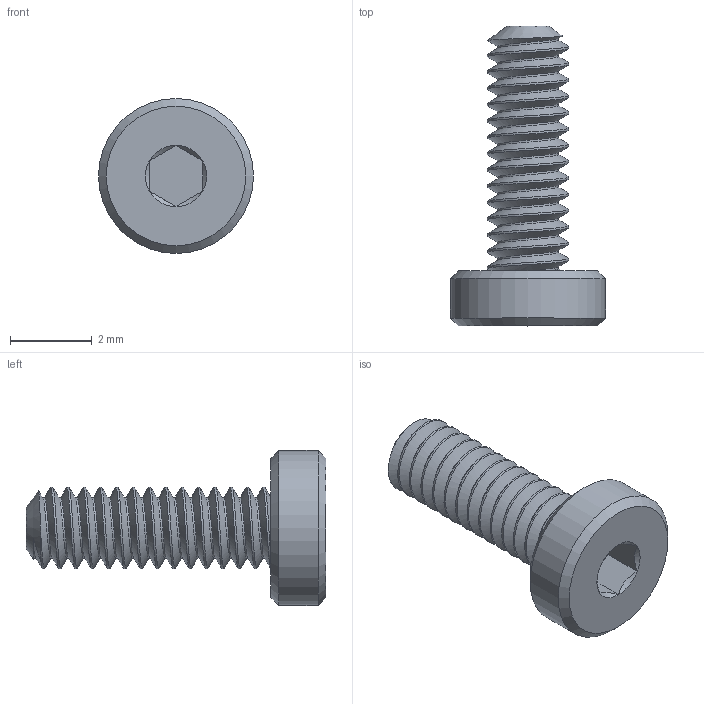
import cadquery as cq
import math

head_diameter = 3.8
head_height = 1.35
head_chamfer = 0.05 * head_diameter
shank_length = 6.0
thread_diameter = 2.0
pitch = 0.4

thread_half_angle = 30.0
crest_width = pitch / 8
root_width = pitch / 8
ridge_base_width = pitch - root_width
ridge_height = (ridge_base_width - crest_width) / 2 / math.tan(math.radians(thread_half_angle))
crest_radius = thread_diameter / 2
root_radius = crest_radius - ridge_height
ridge_overlap = 0.05
runout_turns = 1
thread_turns = math.ceil(shank_length / pitch) + 2 * runout_turns

tip_radius = 0.51
tip_cone_slope = 0.74

hex_across_flats = 1.3
half_hex_angle = 30.0
hex_across_corners = hex_across_flats / math.cos(math.radians(half_hex_angle))
socket_depth = 1.0
socket_cone_angle = 45.0

shank_embed = head_height - socket_depth

head_face = -head_height
tip_face = shank_length


def make_head():
    """Flat cylinder chamfered on both rims."""
    return (
        cq.Workplane("XZ")
        .circle(head_diameter / 2)
        .extrude(head_height)
        .edges()
        .chamfer(head_chamfer)
    )


def make_core():
    """Cylinder at the root of the thread."""
    return (
        cq.Workplane("XZ", origin=(0, tip_face, 0))
        .circle(root_radius)
        .extrude(shank_length + shank_embed)
    )


def make_ridge():
    """Right-hand helical ridge that runs past the shank at both ends."""
    inner_radius = root_radius - ridge_overlap
    flank_width = (ridge_base_width - crest_width) / 2
    profile = [
        (inner_radius, 0),
        (root_radius, 0),
        (crest_radius, flank_width),
        (crest_radius, flank_width + crest_width),
        (root_radius, ridge_base_width),
        (inner_radius, ridge_base_width),
    ]
    ridge_length = thread_turns * pitch
    helices = [
        cq.Wire.makeHelix(pitch, ridge_length, radius).translate(cq.Vector(0, 0, height))
        for radius, height in profile
    ]
    faces = []
    for index, helix in enumerate(helices):
        faces.extend(cq.Face.makeRuledSurface(helices[index - 1], helix).Faces())
    for end_height in (0, ridge_length):
        corners = [cq.Vector(radius, 0, height + end_height) for radius, height in profile]
        faces.append(cq.Face.makeFromWires(cq.Wire.makePolygon(corners, close=True)))
    ridge = cq.Workplane(obj=cq.Solid.makeSolid(cq.Shell.makeShell(faces)))
    return (
        ridge
        .rotate((0, 0, 0), (1, 0, 0), -90)
        .rotate((0, 0, 0), (0, 1, 0), -90)
        .translate((0, -runout_turns * pitch, 0))
    )


def make_shank_envelope():
    """Solid of revolution that trims the thread inside the head and at the point."""
    outer_radius = crest_radius + pitch
    cone_length = (outer_radius - tip_radius) * tip_cone_slope
    return (
        cq.Workplane("XY")
        .moveTo(0, -shank_embed)
        .lineTo(outer_radius, -shank_embed)
        .lineTo(outer_radius, tip_face - cone_length)
        .lineTo(tip_radius, tip_face)
        .lineTo(0, tip_face)
        .close()
        .revolve(360, (0, 0, 0), (0, 1, 0))
    )


def make_socket():
    """Hexagon with corners toward +Z and -Z, and a conical mouth as wide as the corners."""
    hexagon = (
        cq.Workplane("XZ", origin=(0, head_face + socket_depth, 0))
        .polygon(6, hex_across_corners)
        .extrude(socket_depth)
        .rotate((0, 0, 0), (0, 1, 0), half_hex_angle)
    )
    mouth_radius = hex_across_corners / 2
    cone_depth = mouth_radius * math.tan(math.radians(socket_cone_angle))
    mouth = (
        cq.Workplane("XY")
        .moveTo(0, head_face)
        .lineTo(mouth_radius, head_face)
        .lineTo(0, head_face + cone_depth)
        .close()
        .revolve(360, (0, 0, 0), (0, 1, 0))
    )
    return hexagon.union(mouth)


shank = make_core().union(make_ridge()).intersect(make_shank_envelope())
result = cq.Workplane(obj=make_head().union(shank).cut(make_socket()).solids().val())